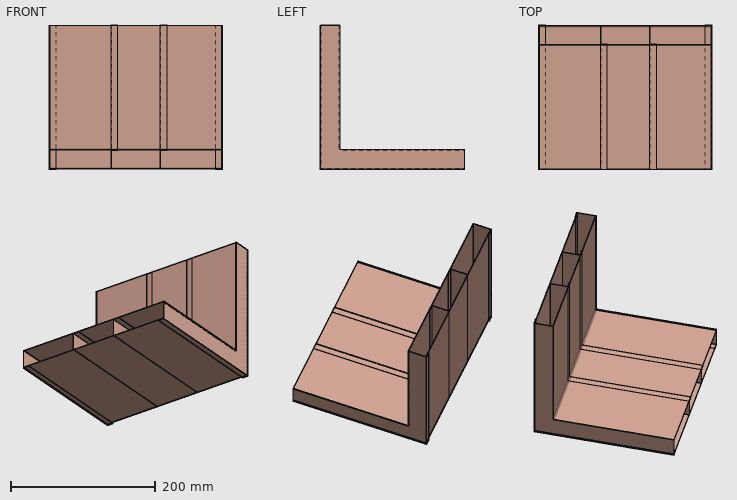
import cadquery as cq

width = 240.0
arm_reach = 200.2
arm_depth = 28.0
divider_overhang = 0.35

sheet = 0.7
bend_radius = 1.0
skin_recess = 0.35
side_clearance = 0.7
flange_width = 9.4
inner_skin_top = arm_depth - skin_recess

divider_inset = 85.5


def ell(x_start, x_length, outer, inner, reach=arm_reach):
    """Sharp-cornered L-shaped slab across X, between two depths measured in from the heel."""
    points = [
        (-outer, outer),
        (-reach, outer),
        (-reach, inner),
        (-inner, inner),
        (-inner, reach),
        (-outer, reach),
    ]
    return cq.Workplane("YZ", origin=(x_start, 0, 0)).polyline(points).close().extrude(x_length)


def corner_radius(depth):
    """Radius of a bent face at a depth in from the heel; stacked bends are concentric."""
    if depth < arm_depth / 2:
        return bend_radius + 2 * sheet - depth
    return bend_radius + inner_skin_top - depth


def rounded_ell(x_start, x_length, outer, inner, reach=arm_reach):
    """L-shaped slab with both of its corners rounded."""
    slab = ell(x_start, x_length, outer, inner, reach)
    for depth in (outer, inner):
        corner = cq.selectors.NearestToPointSelector((x_start + x_length / 2, -depth, depth))
        slab = slab.edges(corner).fillet(corner_radius(depth))
    return slab


def make_side_panel():
    """Left side web with a flange wrapped around the outside of the outer skin."""
    web = ell(0, sheet, 0, arm_depth)
    return web.union(ell(0, flange_width, 0, sheet))


def make_divider(x_web):
    """Web standing on the outer skin, with a flange behind the inner skin."""
    reach = arm_reach + divider_overhang
    flange_top = inner_skin_top - sheet
    web = rounded_ell(x_web, sheet, 2 * sheet, flange_top, reach)
    flange = rounded_ell(x_web, flange_width, flange_top - sheet, flange_top, reach)
    return web.union(flange)


skin_start = sheet + side_clearance
skin_width = width - 2 * skin_start
outer_skin = rounded_ell(skin_start, skin_width, sheet, 2 * sheet)
inner_skin = rounded_ell(skin_start, skin_width, inner_skin_top - sheet, inner_skin_top)

left_panel = make_side_panel()
right_panel = left_panel.mirror("YZ", (width / 2, 0, 0))

divider_positions = (divider_inset, width - divider_inset - sheet)
dividers = [make_divider(x_web) for x_web in divider_positions]

result = cq.Compound.makeCompound(
    [outer_skin.val(), inner_skin.val(), left_panel.val(), right_panel.val()]
    + [divider.val() for divider in dividers]
)